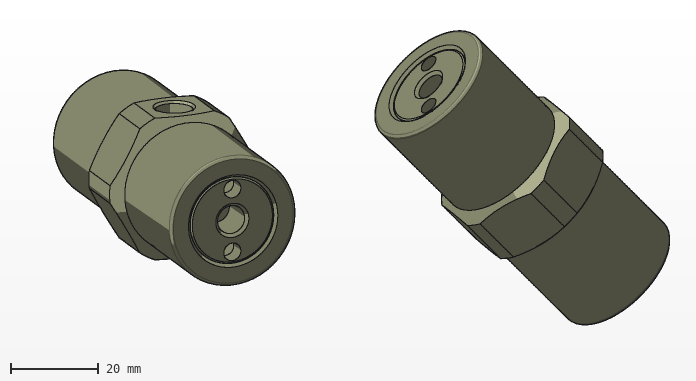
import cadquery as cq
import math

length = 71.0
body_diameter = 31.0
end_fillet = 0.7

across_flats = 34.0
across_corners = 37.05
collar_width = 16.0
collar_chamfer_angle = 30.0

mouth_diameter = 22.1
cap_seat_diameter = 20.65
cap_face_diameter = 19.8
cap_recess = 0.5

mounting_hole_diameter = 6.7
mounting_hole_depth = 9.95
mounting_chamfer_diameter = 8.2

spanner_hole_diameter = 4.2
spanner_hole_depth = 4.25
spanner_hole_offset = 7.5

port_diameter = 8.6
port_chamfer_diameter = 9.7
port_floor_width = 4.5
core_diameter = 14.2

drill_point_angle = 118.0
drill_point_slope = 1 / math.tan(math.radians(drill_point_angle / 2))


def cylinder_along_x(diameter, height):
    """Cylinder about the X axis, centred on the origin."""
    return cq.Workplane("YZ").circle(diameter / 2).extrude(height / 2, both=True)


def revolve_about_x(points):
    """Solid of revolution from (x, radius) points."""
    return cq.Workplane("XY").polyline(points).close().revolve(360, (0, 0, 0), (1, 0, 0))


def drilled_hole(diameter, wall_depth):
    """Drill shape entering at the origin and running along +X to a conical point."""
    radius = diameter / 2
    tip = wall_depth + radius * drill_point_slope
    return revolve_about_x([(0, 0), (0, radius), (wall_depth, radius), (tip, 0)])


def make_collar():
    """Hexagon with its corners turned round and its ends chamfered down to the body."""
    half_width = collar_width / 2
    body_radius = body_diameter / 2
    corner_radius = across_corners / 2
    chamfer_width = (corner_radius - body_radius) * math.tan(math.radians(collar_chamfer_angle))
    hexagon = (
        cq.Workplane("YZ")
        .polygon(6, across_flats / math.cos(math.pi / 6))
        .extrude(half_width, both=True)
    )
    turned_blank = revolve_about_x(
        [
            (-half_width, 0),
            (-half_width, body_radius),
            (chamfer_width - half_width, corner_radius),
            (half_width - chamfer_width, corner_radius),
            (half_width, body_radius),
            (half_width, 0),
        ]
    )
    return hexagon.intersect(turned_blank)


def make_end_cuts():
    """Everything cut into the -X end: cap recess, ring groove, mounting hole, spanner holes."""
    end_face = -length / 2
    cap_face = end_face + cap_recess
    mouth_chamfer = (mouth_diameter - cap_seat_diameter) / 2
    cap_chamfer = (cap_seat_diameter - cap_face_diameter) / 2
    mounting_chamfer = (mounting_chamfer_diameter - mounting_hole_diameter) / 2
    cuts = revolve_about_x(
        [
            (end_face, 0),
            (end_face, mouth_diameter / 2),
            (end_face + mouth_chamfer, cap_seat_diameter / 2),
            (cap_face + cap_chamfer, cap_seat_diameter / 2),
            (cap_face, cap_face_diameter / 2),
            (cap_face, mounting_chamfer_diameter / 2),
            (cap_face + mounting_chamfer, mounting_hole_diameter / 2),
            (cap_face + mounting_hole_depth, mounting_hole_diameter / 2),
            (cap_face + mounting_hole_depth, 0),
        ]
    )
    spanner_hole = drilled_hole(spanner_hole_diameter, spanner_hole_depth)
    for side in (-1, 1):
        cuts = cuts.union(spanner_hole.translate((cap_face, 0, side * spanner_hole_offset)))
    return cuts


def make_port():
    """Drilled port with a 45 degree entry chamfer, whose point breaks off at the core."""
    top = across_flats / 2
    cone_depth = (port_diameter - port_floor_width) / 2 * drill_point_slope
    wall_depth = top - core_diameter / 2 - cone_depth
    drill = drilled_hole(port_diameter, wall_depth).rotate((0, 0, 0), (0, 1, 0), 90)
    chamfer_depth = (port_chamfer_diameter - port_diameter) / 2
    entry_chamfer = cq.Solid.makeCone(
        port_chamfer_diameter / 2,
        port_diameter / 2,
        chamfer_depth,
        dir=cq.Vector(0, 0, -1),
    )
    port = drill.union(cq.Workplane(entry_chamfer)).translate((0, 0, top))
    return port.cut(cylinder_along_x(core_diameter, collar_width))


body = cylinder_along_x(body_diameter, length).faces("<X or >X").edges().fillet(end_fillet)
end_cuts = make_end_cuts()

result = body.union(make_collar()).cut(make_port())
result = result.cut(end_cuts).cut(end_cuts.mirror("YZ"))